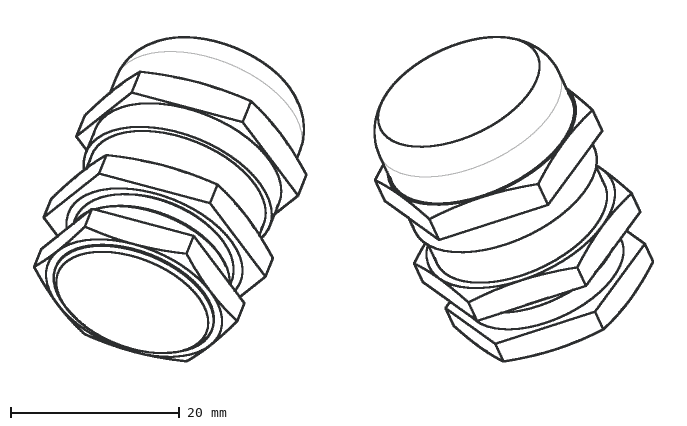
import cadquery as cq
import math


thread_dia = 20.0
end_face_dia = 19.0
body_dia = 22.0
cap_dia = 23.5
cap_end_dia = 20.57

lock_nut_flats = body_dia
main_hex_flats = 24.0
hex_chamfer_angle = 20

end_chamfer = (thread_dia - end_face_dia) / 2
lock_nut_start, lock_nut_end = 0.68, 4.05
thread_end = 7.0
thread_relief = 0.42
flange_start, flange_end = 8.5, 12.0
cap_start = 17.3
cap_hex_start, cap_hex_end = 20.92, 24.8
dome_start = 28.87
total_length = 32.3

dome_height = total_length - dome_start
dome_inset = (cap_dia - cap_end_dia) / 2
dome_radius = (dome_height**2 + dome_inset**2) / (2 * dome_inset)
dome_mid_angle = math.asin(dome_height / dome_radius) / 2
dome_mid_radius = cap_dia / 2 - dome_radius * (1 - math.cos(dome_mid_angle))
dome_mid_y = dome_start + dome_radius * math.sin(dome_mid_angle)

ring_radius = 0.97
ring_center_y = thread_end + ring_radius
ring_center_radius = thread_dia / 2 - ring_radius
ring_end = thread_end + 2 * ring_radius
seat_dia = body_dia
seat_angle = 20
seat_depth = (seat_dia / 2 - ring_center_radius) * math.tan(math.radians(seat_angle))
seat_floor = flange_start + seat_depth


def round_body():
    """Revolve the stepped profile of all round sections about Y."""
    profile = (
        cq.Workplane("XY")
        .moveTo(0, 0)
        .lineTo(end_face_dia / 2, 0)
        .lineTo(thread_dia / 2, end_chamfer)
        .lineTo(thread_dia / 2, thread_end - thread_relief)
        .lineTo(thread_dia / 2 - thread_relief, thread_end)
        .lineTo(ring_center_radius, thread_end)
        .threePointArc((thread_dia / 2, ring_center_y), (ring_center_radius, ring_end))
        .lineTo(ring_center_radius, seat_floor)
        .lineTo(body_dia / 2, seat_floor)
        .lineTo(body_dia / 2, cap_start)
        .lineTo(cap_dia / 2, cap_start)
        .lineTo(cap_dia / 2, dome_start)
        .threePointArc((dome_mid_radius, dome_mid_y), (cap_end_dia / 2, total_length))
        .lineTo(0, total_length)
        .close()
    )
    return profile.revolve(360, (0, 0, 0), (0, 1, 0))


def hexagon(flats, plain_y, chamfered_y):
    """Hexagonal prism whose corners are cut by a cone at chamfered_y."""
    corner_radius = flats / math.sqrt(3)
    drop = (corner_radius - flats / 2) * math.tan(math.radians(hex_chamfer_angle))
    shoulder_y = chamfered_y - math.copysign(drop, chamfered_y - plain_y)
    low_y = min(plain_y, chamfered_y)
    prism = (
        cq.Workplane("XZ", origin=(0, low_y, 0))
        .polygon(6, 2 * corner_radius)
        .extrude(-abs(chamfered_y - plain_y))
    )
    envelope = (
        cq.Workplane("XY")
        .polyline([
            (0, plain_y),
            (corner_radius, plain_y),
            (corner_radius, shoulder_y),
            (flats / 2, chamfered_y),
            (0, chamfered_y),
        ])
        .close()
        .revolve(360, (0, 0, 0), (0, 1, 0))
    )
    return prism.intersect(envelope)


def flange():
    """Main hexagon with the conical ring seat cut into its flat face."""
    seat = (
        cq.Workplane("XY")
        .polyline([
            (0, flange_start),
            (seat_dia / 2, flange_start),
            (ring_center_radius, seat_floor),
            (0, seat_floor),
        ])
        .close()
        .revolve(360, (0, 0, 0), (0, 1, 0))
    )
    return hexagon(main_hex_flats, flange_start, flange_end).cut(seat)


result = (
    round_body()
    .union(hexagon(lock_nut_flats, lock_nut_end, lock_nut_start))
    .union(flange())
    .union(hexagon(main_hex_flats, cap_hex_start, cap_hex_end))
)